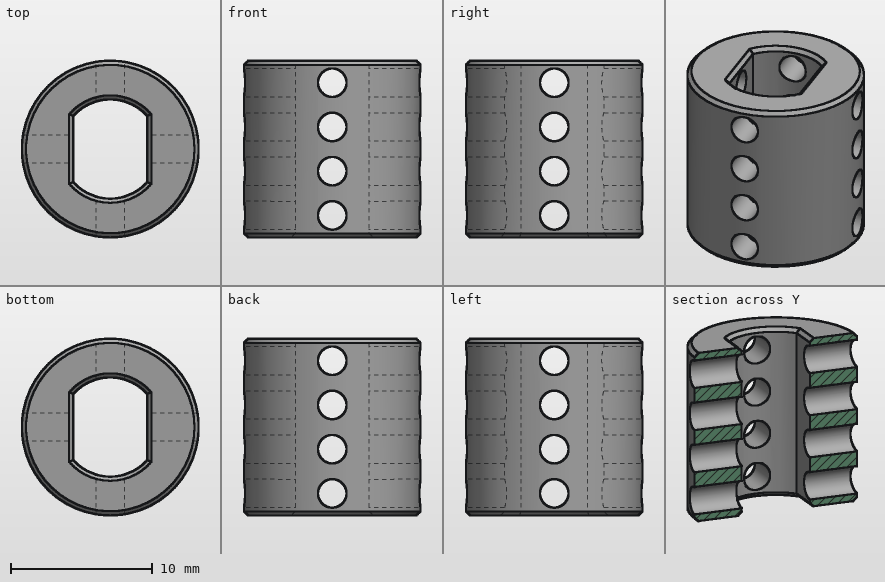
import cadquery as cq

OUTER_DIAMETER = 12.5
LENGTH = 12.5

BORE_DIAMETER = 7.0
BORE_ACROSS_FLATS = 5.2

EDGE_CHAMFER = 0.3

CROSS_HOLE_DIAMETER = 2.0
CROSS_HOLES_PER_ROW = 4
CROSS_HOLE_PITCH = LENGTH / CROSS_HOLES_PER_ROW


def flatted_bore():
    """Solid of the through bore: a cylinder trimmed by two flats."""
    round_bore = cq.Workplane("XY").circle(BORE_DIAMETER / 2).extrude(LENGTH)
    between_flats = cq.Workplane("XY").rect(BORE_ACROSS_FLATS, BORE_DIAMETER).extrude(LENGTH)
    return round_bore.intersect(between_flats)


def chamfered_sleeve():
    """Bored cylinder with every end-face edge chamfered."""
    cylinder = cq.Workplane("XY").circle(OUTER_DIAMETER / 2).extrude(LENGTH)
    sleeve = cylinder.cut(flatted_bore())
    return sleeve.faces("<Z or >Z").edges().chamfer(EDGE_CHAMFER)


def cross_hole_row(plane_name):
    """Row of through holes stacked along Z, running along the plane normal."""
    return (
        cq.Workplane(plane_name, origin=(0, 0, LENGTH / 2))
        .rarray(0.12, CROSS_HOLE_PITCH, 1, CROSS_HOLES_PER_ROW)
        .circle(CROSS_HOLE_DIAMETER / 2)
        .extrude(OUTER_DIAMETER / 2, both=True)
    )


result = chamfered_sleeve()
for row_plane in ("XZ", "YZ"):
    result = result.cut(cross_hole_row(row_plane))